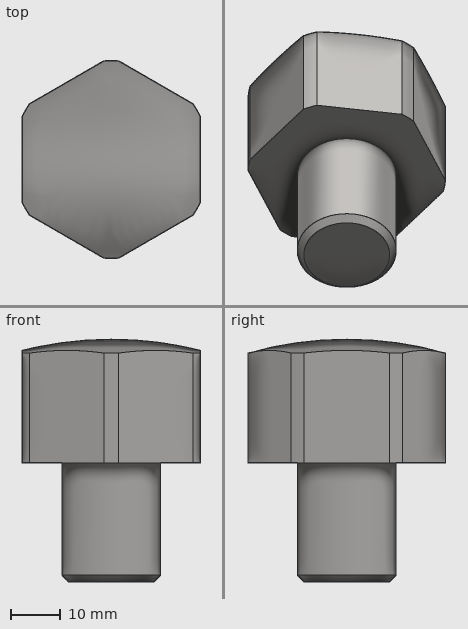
import cadquery as cq
import math

total_height = 49.0
shank_length = 24.0
shank_diameter = 20.0
shank_chamfer = 1.3

across_flats = 36.0
corner_diameter = 40.0
dome_height = 2.8

corner_radius = corner_diameter / 2
shoulder_height = total_height - dome_height
dome_radius = (corner_radius**2 + dome_height**2) / (2 * dome_height)


def make_shank():
    """Round shank standing on z = 0, chamfered at its free end."""
    shank = cq.Workplane("XY").circle(shank_diameter / 2).extrude(shank_length)
    return shank.faces("<Z").edges().chamfer(shank_chamfer)


def make_domed_blank():
    """Revolved cylinder that rounds the hexagon corners and carries the spherical dome."""
    dome_mid_x = corner_radius / 2
    dome_mid_z = total_height - dome_radius + math.sqrt(dome_radius**2 - dome_mid_x**2)
    return (
        cq.Workplane("XZ")
        .moveTo(0, shank_length)
        .lineTo(corner_radius, shank_length)
        .lineTo(corner_radius, shoulder_height)
        .threePointArc((dome_mid_x, dome_mid_z), (0, total_height))
        .close()
        .revolve(360, (0, 0, 0), (0, 1, 0))
    )


def make_head():
    """Hexagonal head with two flats facing X and two corners on the Y axis."""
    hexagon = (
        cq.Workplane("XY", origin=(0, 0, shank_length))
        .transformed(rotate=(0, 0, 90))
        .polygon(6, across_flats / math.cos(math.pi / 6))
        .extrude(total_height - shank_length)
    )
    return hexagon.intersect(make_domed_blank())


result = make_head().union(make_shank())